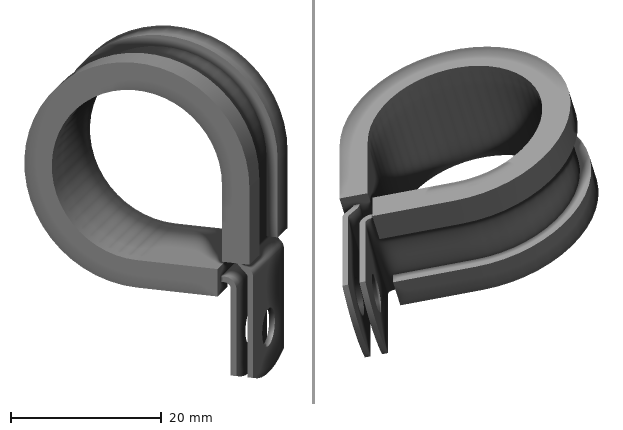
import cadquery as cq
import math

loop_radius = 15.75
cushion_thickness = 3.85
cushion_width = 15.75
groove_depth = 1.55
groove_width = 7.6
upright_end_z = -10.8
lower_arm_end_x = 11.3

strap_thickness = 0.8
strap_width = 12.65
bend_radius = 0.85
jog_radius = 0.85
tab_gap = 1.55
tab_bottom_z = loop_radius - 44.3
tab_end_rise = 1.35
hole_diameter = 5.23
hole_height = 6.38

half_strap = strap_thickness / 2
strap_line = loop_radius - groove_depth - half_strap
outer_tab_x = loop_radius - half_strap
inner_tab_x = outer_tab_x - tab_gap - strap_thickness


def loop_band(outer_radius, inner_radius, width):
    """Three-quarter ring with two straight arms, centred on Y = 0."""
    diagonal = math.sqrt(0.5)
    return (
        cq.Workplane("XZ")
        .moveTo(outer_radius, upright_end_z)
        .lineTo(outer_radius, 0)
        .threePointArc((-outer_radius * diagonal, outer_radius * diagonal), (0, -outer_radius))
        .lineTo(lower_arm_end_x, -outer_radius)
        .lineTo(lower_arm_end_x, -inner_radius)
        .lineTo(0, -inner_radius)
        .threePointArc((-inner_radius * diagonal, inner_radius * diagonal), (inner_radius, 0))
        .lineTo(inner_radius, upright_end_z)
        .close()
        .extrude(width / 2, both=True)
    )


groove_radius = loop_radius - groove_depth
inner_radius = loop_radius - cushion_thickness
cushion = loop_band(loop_radius, inner_radius, cushion_width)
groove = loop_band(loop_radius, groove_radius, groove_width)
clamp = cushion.cut(groove)

bend_line_radius = bend_radius + half_strap
inner_path = (
    cq.Workplane("XZ")
    .moveTo(lower_arm_end_x, -strap_line)
    .lineTo(inner_tab_x - bend_line_radius, -strap_line)
    .tangentArcPoint((inner_tab_x, -strap_line - bend_line_radius), relative=False)
    .lineTo(inner_tab_x, tab_bottom_z)
)
inner_tab = (
    cq.Workplane("YZ", origin=(lower_arm_end_x, 0, -strap_line))
    .rect(strap_width, strap_thickness)
    .sweep(inner_path)
)

jog_angle = math.radians(45)
arc_shift = jog_radius * (1 - math.cos(jog_angle))
arc_drop = jog_radius * math.sin(jog_angle)
slope_shift = outer_tab_x - strap_line - 2 * arc_shift
slope_drop = slope_shift / math.tan(jog_angle)
slope_start = (strap_line + arc_shift, upright_end_z - arc_drop)
slope_end = (slope_start[0] + slope_shift, slope_start[1] - slope_drop)
mid_shift = jog_radius * (1 - math.cos(jog_angle / 2))
mid_drop = jog_radius * math.sin(jog_angle / 2)
jog_end_z = slope_end[1] - arc_drop
outer_path = (
    cq.Workplane("XZ")
    .moveTo(strap_line, upright_end_z)
    .threePointArc((strap_line + mid_shift, upright_end_z - mid_drop), slope_start)
    .lineTo(*slope_end)
    .threePointArc((outer_tab_x - mid_shift, jog_end_z + mid_drop), (outer_tab_x, jog_end_z))
    .lineTo(outer_tab_x, tab_bottom_z)
)
outer_tab = (
    cq.Workplane("XY", origin=(strap_line, 0, upright_end_z))
    .rect(strap_thickness, strap_width)
    .sweep(outer_path)
)

tab_outline = (
    cq.Workplane("YZ")
    .moveTo(-strap_width / 2, 0)
    .lineTo(-strap_width / 2, tab_bottom_z + tab_end_rise)
    .threePointArc((0, tab_bottom_z), (strap_width / 2, tab_bottom_z + tab_end_rise))
    .lineTo(strap_width / 2, 0)
    .close()
    .extrude(loop_radius)
)
screw_hole = (
    cq.Workplane("YZ")
    .center(0, tab_bottom_z + hole_height)
    .circle(hole_diameter / 2)
    .extrude(loop_radius)
)
for tab in (inner_tab, outer_tab):
    clamp = clamp.union(tab.intersect(tab_outline).cut(screw_hole))

result = clamp